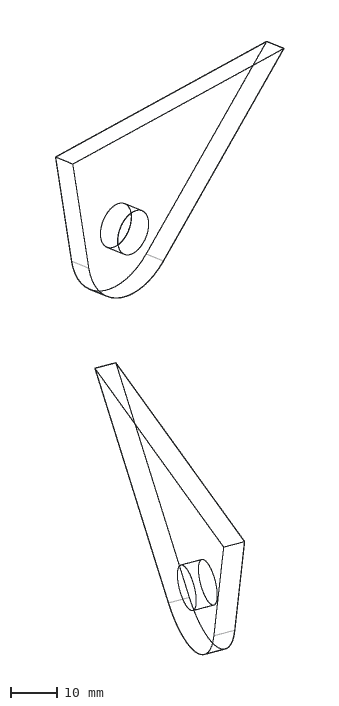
import cadquery as cq
import math

length = 70.0
height = 40.0
thickness = 5.0
lug_radius = 15.0
hole_diameter = 10.2
hole_setback = 20.0

front_y = -length / 2
back_y = length / 2
top_z = height / 2
bottom_z = -height / 2
hole_y = front_y + hole_setback
hole_z = bottom_z + lug_radius


def lug_point(angle):
    """Point on the lug circle at an angle measured from +Y towards +Z."""
    return (
        hole_y + lug_radius * math.cos(angle),
        hole_z + lug_radius * math.sin(angle),
    )


def tangent_point(corner_y, side):
    """Where the tangent from a top corner touches the lug; side is +1 or -1 along Y."""
    dy = corner_y - hole_y
    dz = top_z - hole_z
    corner_angle = math.atan2(dz, dy)
    half_angle = math.acos(lug_radius / math.hypot(dy, dz))
    return lug_point(corner_angle - side * half_angle)


plate = (
    cq.Workplane("YZ", origin=(-thickness / 2, 0, 0))
    .moveTo(front_y, top_z)
    .lineTo(*tangent_point(front_y, -1))
    .threePointArc((hole_y, bottom_z), tangent_point(back_y, 1))
    .lineTo(back_y, top_z)
    .close()
    .extrude(thickness)
)

hole = (
    cq.Workplane("YZ", origin=(-thickness / 2, 0, 0))
    .center(hole_y, hole_z)
    .circle(hole_diameter / 2)
    .extrude(thickness)
)

result = plate.cut(hole)